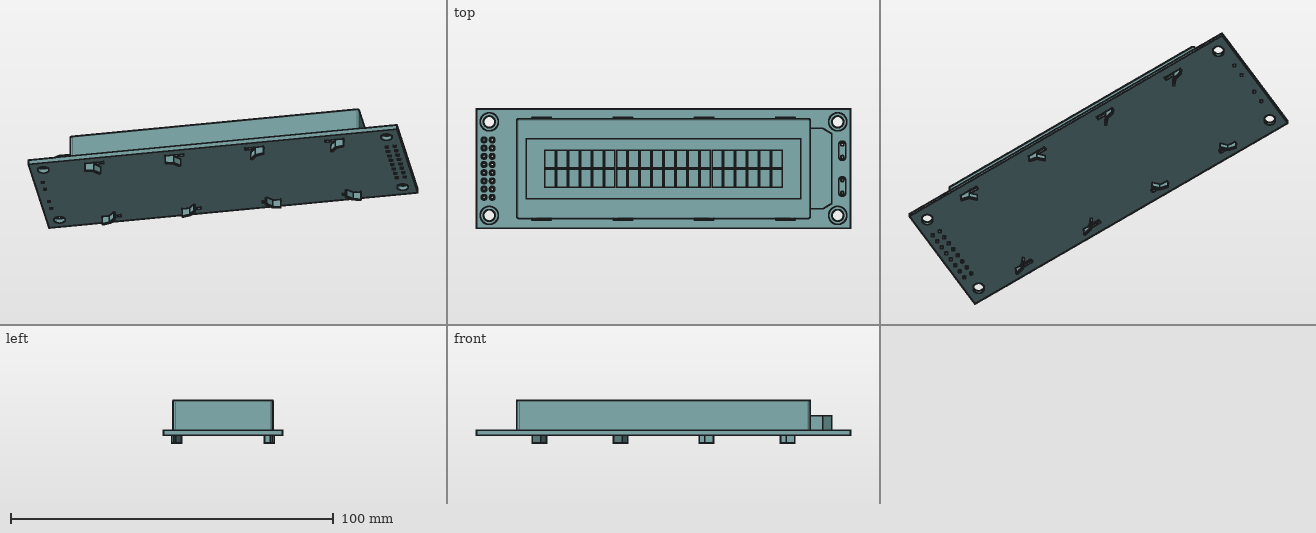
import cadquery as cq
import math

BOARD_LENGTH = 116.0
BOARD_WIDTH = 37.0
BOARD_THICKNESS = 1.6
MID_X = BOARD_LENGTH / 2
MID_Y = BOARD_WIDTH / 2

MOUNT_SPACING_X = 108.0
MOUNT_SPACING_Y = 29.0
MOUNT_HOLE_DIAMETER = 3.5
MOUNT_RING_DIAMETER = 5.6
COPPER_THICKNESS = 0.05

PIN_PITCH = 2.54
PIN_COLUMNS = 2
PIN_ROWS = 8
PIN_HOLE_DIAMETER = 1.0
PIN_PAD_DIAMETER = 1.7
PIN_CENTER_X = 3.65

LAMP_PAD_X = 113.4
LAMP_PAD_SPACING = 11.1
LAMP_PAD_LENGTH = 6.0
LAMP_PAD_WIDTH = 2.1
LAMP_HOLE_SPACING = 4.0
LAMP_HOLE_DIAMETER = 0.9

BEZEL_LENGTH = 91.0
BEZEL_WIDTH = 31.0
BEZEL_HEIGHT = 9.3
BEZEL_CORNER_RADIUS = 0.75
BEZEL_TOP_RADIUS = 0.3

WINDOW_LENGTH = 85.0
WINDOW_WIDTH = 18.6
WINDOW_DEPTH = 0.4
CELL_COLUMNS = 20
CELL_ROWS = 2
CELL_LENGTH = 3.2
CELL_WIDTH = 5.55
CELL_PITCH_X = 3.7
CELL_PITCH_Y = 5.95
CELL_HEIGHT = 0.05

LAMP_END_X = 110.2
LAMP_WIDTH = 25.0
LAMP_HEIGHT = 4.5
LAMP_CORNER_X = 2.8
LAMP_CORNER_Y = 1.7

TAB_SPACING = 25.2
TABS_PER_SIDE = 4
SLOT_LENGTH = 5.9
SLOT_WIDTH = 1.0
SLOT_OUTER_Y = 15.9
TAB_THICKNESS = 0.6
TAB_DROP = 2.4
TAB_HALF_LENGTH = 2.68
TAB_START_ANGLE = 14.0
TAB_END_ANGLE = 48.0

SLOT_CENTER_Y = SLOT_OUTER_Y - SLOT_WIDTH / 2
TOP_Z = BOARD_THICKNESS + BEZEL_HEIGHT


def grid(columns, rows, pitch_x, pitch_y, center_x, center_y=MID_Y):
    """Centre points of a rectangular grid."""
    return [
        (center_x + (i - (columns - 1) / 2) * pitch_x, center_y + (j - (rows - 1) / 2) * pitch_y)
        for i in range(columns)
        for j in range(rows)
    ]


def at_height(z):
    """Horizontal sketch plane at height z."""
    return cq.Workplane("XY", origin=(0, 0, z))


def block(length, width, height, x, y, z):
    """Box centred on (x, y) with its underside at height z."""
    return at_height(z).center(x, y).rect(length, width).extrude(height)


MOUNTS = grid(2, 2, MOUNT_SPACING_X, MOUNT_SPACING_Y, MID_X)
PINS = grid(PIN_COLUMNS, PIN_ROWS, PIN_PITCH, PIN_PITCH, PIN_CENTER_X)
LAMP_PADS = grid(1, 2, 0, LAMP_PAD_SPACING, LAMP_PAD_X)
LAMP_HOLES = [p for x, y in LAMP_PADS for p in grid(1, 2, 0, LAMP_HOLE_SPACING, x, y)]


def make_board():
    """Board with copper pads, drilled holes and tab slots."""
    board = block(BOARD_LENGTH, BOARD_WIDTH, BOARD_THICKNESS, MID_X, MID_Y, 0)
    top = at_height(BOARD_THICKNESS)
    board = board.union(top.pushPoints(MOUNTS).circle(MOUNT_RING_DIAMETER / 2).extrude(COPPER_THICKNESS))
    board = board.union(top.pushPoints(PINS).circle(PIN_PAD_DIAMETER / 2).extrude(COPPER_THICKNESS))
    board = board.union(
        top.pushPoints(LAMP_PADS).slot2D(LAMP_PAD_LENGTH, LAMP_PAD_WIDTH, 90).extrude(COPPER_THICKNESS)
    )
    drill_depth = BOARD_THICKNESS + COPPER_THICKNESS
    for points, diameter in (
        (MOUNTS, MOUNT_HOLE_DIAMETER),
        (PINS, PIN_HOLE_DIAMETER),
        (LAMP_HOLES, LAMP_HOLE_DIAMETER),
    ):
        board = board.cut(at_height(0).pushPoints(points).circle(diameter / 2).extrude(drill_depth))
    for x, y in grid(TABS_PER_SIDE, 2, TAB_SPACING, 2 * SLOT_CENTER_Y, MID_X):
        board = board.cut(block(SLOT_LENGTH, SLOT_WIDTH, BOARD_THICKNESS, x, y, 0))
    return board


def make_bezel():
    """Bezel with a recessed window holding the slightly raised character cells."""
    bezel = block(BEZEL_LENGTH, BEZEL_WIDTH, BEZEL_HEIGHT, MID_X, MID_Y, BOARD_THICKNESS)
    bezel = bezel.edges("|Z").fillet(BEZEL_CORNER_RADIUS)
    bezel = bezel.faces(">Z").edges().fillet(BEZEL_TOP_RADIUS)
    glass_z = TOP_Z - WINDOW_DEPTH
    bezel = bezel.cut(block(WINDOW_LENGTH, WINDOW_WIDTH, WINDOW_DEPTH, MID_X, MID_Y, glass_z))
    cells = grid(CELL_COLUMNS, CELL_ROWS, CELL_PITCH_X, CELL_PITCH_Y, MID_X)
    return bezel.union(at_height(glass_z).pushPoints(cells).rect(CELL_LENGTH, CELL_WIDTH).extrude(CELL_HEIGHT))


def make_lamp():
    """Backlight housing with two cut corners, reaching in under the bezel."""
    half = LAMP_WIDTH / 2
    outline = [
        (MID_X, MID_Y - half),
        (LAMP_END_X - LAMP_CORNER_X, MID_Y - half),
        (LAMP_END_X, MID_Y - half + LAMP_CORNER_Y),
        (LAMP_END_X, MID_Y + half - LAMP_CORNER_Y),
        (LAMP_END_X - LAMP_CORNER_X, MID_Y + half),
        (MID_X, MID_Y + half),
    ]
    return at_height(BOARD_THICKNESS).polyline(outline).close().extrude(LAMP_HEIGHT)


def step(point, angle, distance):
    """Point reached by moving a distance along a direction given in degrees."""
    direction = math.radians(angle)
    return (point[0] + distance * math.cos(direction), point[1] + distance * math.sin(direction))


def make_tab(slot_x):
    """Tab on the -Y side, starting at the left end of its slot and bending in toward +Y."""
    bend_angle = (TAB_START_ANGLE + TAB_END_ANGLE) / 2
    half_bend = math.radians((TAB_END_ANGLE - TAB_START_ANGLE) / 2)
    corner_shift = TAB_THICKNESS * math.sin(math.radians(TAB_START_ANGLE))
    outer_start = (slot_x - SLOT_LENGTH / 2 + corner_shift, MID_Y - SLOT_OUTER_Y)
    outer_bend = step(outer_start, TAB_START_ANGLE, TAB_HALF_LENGTH)
    outer_end = step(outer_bend, TAB_END_ANGLE, TAB_HALF_LENGTH)
    outline = [
        outer_start,
        outer_bend,
        outer_end,
        step(outer_end, TAB_END_ANGLE + 90, TAB_THICKNESS),
        step(outer_bend, bend_angle + 90, TAB_THICKNESS / math.cos(half_bend)),
        step(outer_start, TAB_START_ANGLE + 90, TAB_THICKNESS),
    ]
    return at_height(-TAB_DROP).polyline(outline).close().extrude(TAB_DROP + BOARD_THICKNESS)


def make_tabs():
    """Tabs of the front left quarter, mirrored to the other three quarters."""
    tabs = cq.Workplane("XY")
    for i in range(TABS_PER_SIDE // 2):
        tabs = tabs.union(make_tab(MID_X - (i + 0.5) * TAB_SPACING))
    tabs = tabs.union(tabs.mirror("YZ", (MID_X, 0, 0)))
    return tabs.union(tabs.mirror("XZ", (0, MID_Y, 0)))


result = make_board().union(make_bezel()).union(make_lamp()).union(make_tabs())